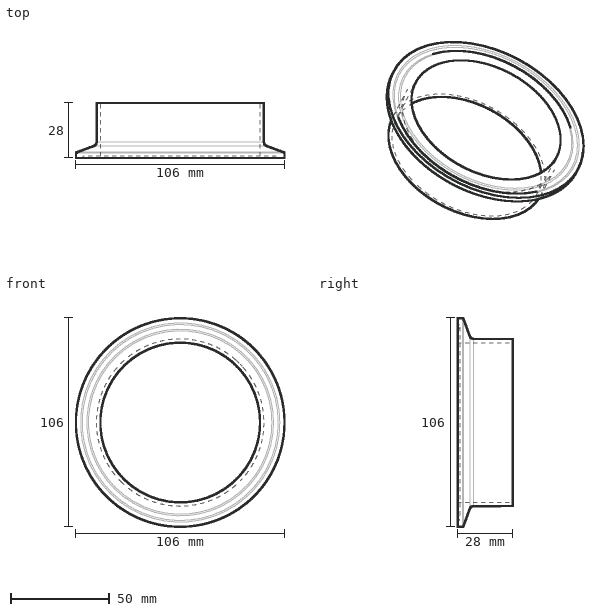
import cadquery as cq
import math

flange_radius = 53.0
tube_radius = 42.5
bore_radius = 40.5
length = 28.0
rim_height = 2.9
cone_angle = math.radians(20)
neck_fillet = 2.0
rim_fillet = 0.5

groove_radius = 48.5
groove_half_width = 2.0
floor_radius = 1.4
lip_radius = 1.0

cone_rise = (flange_radius - tube_radius) * math.tan(cone_angle)
neck_height = rim_height + cone_rise


def revolve_about_y(profile):
    return profile.revolve(360, (0, 0, 0), (0, 1, 0))


def round_circle(solid, radius, height, fillet):
    """Fillet the circular edge of the given radius and height around the Y axis."""
    reach = 0.1
    edge_box = cq.selectors.BoxSelector(
        (-radius - reach, height - reach, -radius - reach),
        (radius + reach, height + reach, radius + reach),
        boundingbox=True,
    )
    return solid.edges(edge_box).fillet(fillet)


def make_body():
    """Flange, cone and tube in one revolve, with both ends of the cone rounded."""
    profile = (
        cq.Workplane("XY")
        .moveTo(bore_radius, 0)
        .lineTo(flange_radius, 0)
        .lineTo(flange_radius, rim_height)
        .lineTo(tube_radius, neck_height)
        .lineTo(tube_radius, length)
        .lineTo(bore_radius, length)
        .close()
    )
    body = revolve_about_y(profile)
    body = round_circle(body, tube_radius, neck_height, neck_fillet)
    return round_circle(body, flange_radius, rim_height, rim_fillet)


def make_groove():
    """Ring to cut away: convex lip, concave floor, convex lip, all tangent."""
    wall_angle = math.asin(groove_half_width / (floor_radius + lip_radius))
    half_angle = wall_angle / 2
    floor_half_width = floor_radius * math.sin(wall_angle)
    lip_depth = lip_radius * (1 - math.cos(wall_angle))
    depth = lip_depth + floor_radius * (1 - math.cos(wall_angle))

    lip_mid_offset = groove_half_width - lip_radius * math.sin(half_angle)
    lip_mid_depth = lip_radius * (1 - math.cos(half_angle))

    profile = (
        cq.Workplane("XY")
        .moveTo(groove_radius - groove_half_width, 0)
        .threePointArc(
            (groove_radius - lip_mid_offset, lip_mid_depth),
            (groove_radius - floor_half_width, lip_depth),
        )
        .threePointArc(
            (groove_radius, depth),
            (groove_radius + floor_half_width, lip_depth),
        )
        .threePointArc(
            (groove_radius + lip_mid_offset, lip_mid_depth),
            (groove_radius + groove_half_width, 0),
        )
        .close()
    )
    return revolve_about_y(profile)


result = make_body().cut(make_groove())